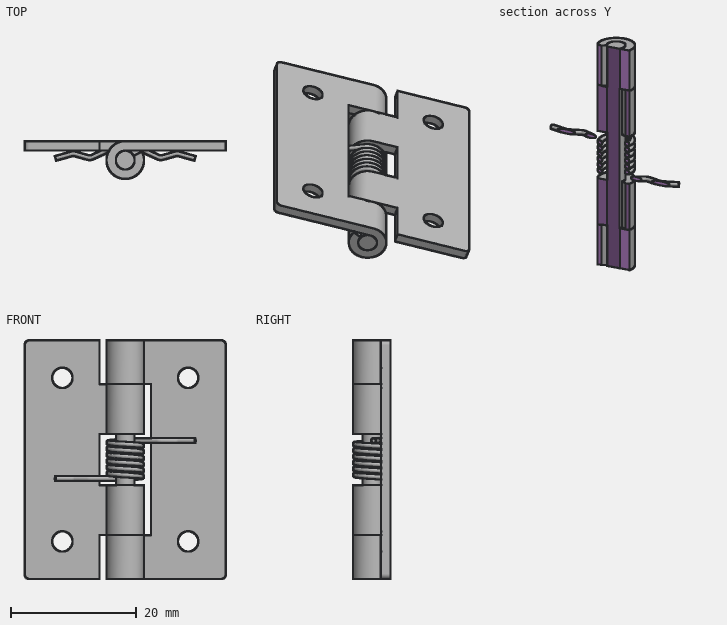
import cadquery as cq
import math

height = 38.0
half_width = 16.0
knuckle_radius = 3.0
pin_radius = knuckle_radius / 2
end_knuckle = 7.0
spring_gap = 8.1
leaf_edge = 4.05
corner_radius = 0.8
hole_radius = 1.6
hole_x = 10.0
hole_z = 13.0
curl_end_angle = 27.0

wire_diameter = 0.8
full_turns = 6
leg_z = 3.0
leg_points = [(5.6, 0.3), (8.25, 1.05), (11.1, 0.25)]
bend_radius = 1.0
joint_tolerance = 0.001

half_height = height / 2
end_level = half_height - end_knuckle
gap_level = spring_gap / 2
leaf_back = knuckle_radius
leaf_front = pin_radius
leaf_thickness = leaf_back - leaf_front
wire_radius = wire_diameter / 2
coil_radius = knuckle_radius - wire_radius


def polar(radius, degrees):
    angle = math.radians(degrees)
    return (radius * math.cos(angle), radius * math.sin(angle))


def leaf_knuckle(bottom, top):
    """Curl around the pin and the flat tangent strip that joins it to the plate on +X."""
    return (
        cq.Workplane("XY", origin=(0, 0, bottom))
        .moveTo(leaf_edge, leaf_back)
        .lineTo(0, leaf_back)
        .threePointArc((0, -knuckle_radius), polar(knuckle_radius, curl_end_angle))
        .lineTo(*polar(pin_radius, curl_end_angle))
        .threePointArc((0, -pin_radius), (0, leaf_front))
        .lineTo(leaf_edge, leaf_front)
        .close()
        .extrude(top - bottom)
    )


def make_leaf(knuckle_spans):
    """Leaf on the +X side with a knuckle over each (bottom, top) span."""
    leaf = (
        cq.Workplane("XY")
        .box(half_width - leaf_edge, leaf_thickness, height, centered=(False, False, True))
        .translate((leaf_edge, leaf_front, 0))
        .edges("|Y and >X")
        .fillet(corner_radius)
    )
    holes = (
        cq.Workplane("XZ", origin=(0, leaf_back, 0))
        .pushPoints([(hole_x, -hole_z), (hole_x, hole_z)])
        .circle(hole_radius)
        .extrude(leaf_thickness)
    )
    leaf = leaf.cut(holes)
    for bottom, top in knuckle_spans:
        leaf = leaf.union(leaf_knuckle(bottom, top))
    return leaf.solids()


def make_pin():
    return cq.Workplane("XY", origin=(0, 0, -half_height)).circle(pin_radius).extrude(height)


def make_spring():
    """Torsion spring: a left-hand coil that runs tangentially into a bent leg at each end."""
    bend_x, bend_y = leg_points[0]
    bend_distance = math.hypot(bend_x, bend_y)
    start_angle = math.degrees(math.atan2(bend_y, bend_x) + math.acos(coil_radius / bend_distance))

    turns = full_turns + (180 - 2 * start_angle) / 360
    coil_height = 2 * leg_z
    helix = cq.Wire.makeHelix(coil_height / turns, coil_height, coil_radius, lefthand=True)
    helix = helix.rotate(cq.Vector(0, 0, 0), cq.Vector(0, 0, 1), 180 - start_angle)
    helix = helix.translate(cq.Vector(0, 0, -leg_z))

    tangent_x, tangent_y = polar(coil_radius, start_angle)
    corners = [(tangent_x, tangent_y)] + leg_points
    leg = cq.Wire.makePolygon([cq.Vector(x, y, leg_z) for x, y in corners])
    bends = leg.Vertices()[1:-1]
    leg = leg.fillet2D(bend_radius, bends)
    lower_leg = leg.rotate(cq.Vector(0, 0, 0), cq.Vector(0, 1, 0), 180)

    path = cq.Wire.combine([lower_leg, helix, leg], joint_tolerance)[0]
    tip_x, tip_y = leg_points[-1]
    last_x, last_y = leg_points[-2]
    section = cq.Plane(
        origin=(-tip_x, tip_y, -leg_z),
        xDir=(0, 0, 1),
        normal=(tip_x - last_x, last_y - tip_y, 0),
    )
    return cq.Workplane(section).circle(wire_radius).sweep(path, isFrenet=True, transition="transformed")


end_spans = [(-half_height, -end_level), (end_level, half_height)]
inner_spans = [(-end_level, -gap_level), (gap_level, end_level)]

right_leaf = make_leaf(end_spans)
left_leaf = make_leaf(inner_spans).mirror("YZ")
pin = make_pin()
spring = make_spring()

result = cq.Compound.makeCompound([right_leaf.val(), left_leaf.val(), pin.val(), spring.val()])